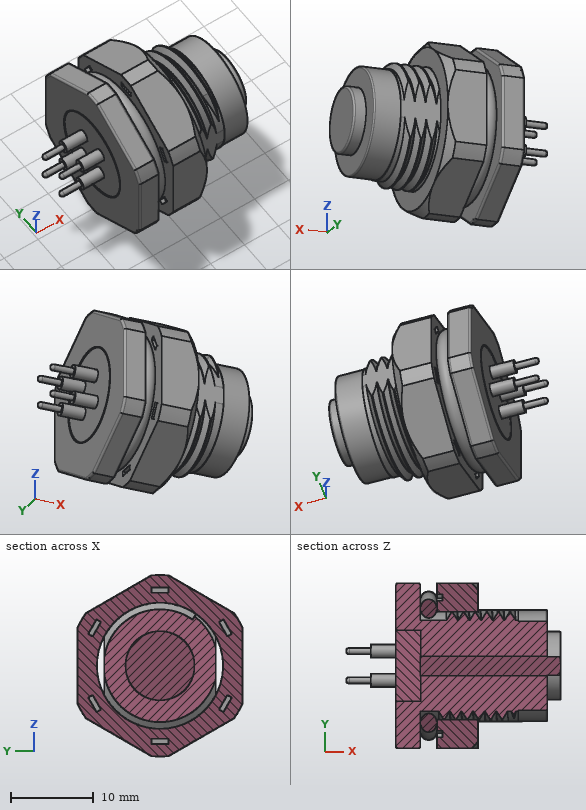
import cadquery as cq
import math

TOTAL_LENGTH = 26.0

PIN_TIP_DIA = 0.8
PIN_SHANK_DIA = 1.6
PIN_SPACING = 3.54
PIN_TIP_LENGTH = 3.0

HEX_ACROSS_FLATS = 20.0
HEX_CORNER_DIA = 22.0

FLANGE_START = 6.0
FLANGE_THICKNESS = 3.0
FLANGE_ROUND = 0.29
ROOT_DIA = 13.68
COLLAR_DIA = 13.5
COLLAR_START = 20.85
COLLAR_END = 24.35
COLLAR_ROUND = 0.18
REAR_BORE_DIA = 11.7
REAR_BORE_CHAMFER = 0.1

THREAD_DIA = 15.24
THREAD_PITCH = 1.4
THREAD_CREST_WIDTH = 0.15
THREAD_ROOT_WIDTH = 1.38
THREAD_OVERLAP = 0.03
THREAD_TURNS = 6
THREAD_END = 20.2
THREAD_END_ANGLE = 35.0
RUNOUT_ANGLE = 33.0
RUNOUT_END_SCALE = 0.06
RUNOUT_SECTIONS = 5

SEAL_OUTER_DIA = 18.0
SEAL_WIDTH = 2.0

NUT_THICKNESS = 5.0
NUT_CHAMFER = 1.0
SLOT_LENGTH = 2.0
SLOT_WIDTH = 0.6
SLOT_DEPTH = 0.65
SLOT_INNER_DISTANCE = 8.85
HEX_SIDES = 6

FRONT_INSERT_DIA = 8.3
FRONT_INSERT_ROUND = 0.23

FLANGE_END = FLANGE_START + FLANGE_THICKNESS
NUT_START = FLANGE_END + SEAL_WIDTH
NUT_END = NUT_START + NUT_THICKNESS
THREAD_START = THREAD_END - THREAD_TURNS * THREAD_PITCH


def cylinder(diameter, start, end):
    """Round bar on the X axis between two X positions."""
    return cq.Workplane("YZ").workplane(offset=start).circle(diameter / 2).extrude(end - start)


def hexagon(start, end):
    """Hexagonal bar with flats on +-Y and its six corners rounded to a common diameter."""
    corner_to_corner = HEX_ACROSS_FLATS / math.cos(math.pi / HEX_SIDES)
    bar = (
        cq.Workplane("YZ")
        .workplane(offset=start)
        .transformed(rotate=(0, 0, 90))
        .polygon(HEX_SIDES, corner_to_corner)
        .extrude(end - start)
    )
    return bar.intersect(cylinder(HEX_CORNER_DIA, start, end))


def thread_profile():
    """Corners of one thread tooth as (distance from the axis, distance along it from the crest)."""
    foot_radius = ROOT_DIA / 2 - THREAD_OVERLAP
    crest_radius = THREAD_DIA / 2
    return [
        (foot_radius, -THREAD_ROOT_WIDTH / 2),
        (crest_radius, -THREAD_CREST_WIDTH / 2),
        (crest_radius, THREAD_CREST_WIDTH / 2),
        (foot_radius, THREAD_ROOT_WIDTH / 2),
    ]


def make_thread_coil():
    """Helical ridge from the thread start up to its end face."""
    length = THREAD_TURNS * THREAD_PITCH
    helix = cq.Wire.makeHelix(THREAD_PITCH, length, ROOT_DIA / 2)
    coil = cq.Workplane("XZ").polyline(thread_profile()).close().sweep(cq.Workplane(helix), isFrenet=True)
    return (
        coil.rotate((0, 0, 0), (0, 0, 1), 180 + THREAD_END_ANGLE)
        .rotate((0, 0, 0), (0, 1, 0), 90)
        .translate((THREAD_START, 0, 0))
    )


def axial_point(radius, x, angle):
    """Point at a radius from the X axis, its angle in degrees counted from +Z towards -Y."""
    turn = math.radians(angle)
    return cq.Vector(x, -radius * math.sin(turn), radius * math.cos(turn))


def make_thread_runout():
    """Tail of the thread: the tooth goes on along the helix and shrinks into the root cylinder."""
    foot_radius = ROOT_DIA / 2 - THREAD_OVERLAP
    sections = []
    for step in range(RUNOUT_SECTIONS):
        progress = step / (RUNOUT_SECTIONS - 1)
        scale = 1 - progress * (1 - RUNOUT_END_SCALE)
        sweep = progress * RUNOUT_ANGLE
        crest_x = THREAD_END + THREAD_PITCH * sweep / 360
        corners = [
            axial_point(
                foot_radius + scale * (radius - foot_radius),
                crest_x + scale * shift,
                THREAD_END_ANGLE + sweep,
            )
            for radius, shift in thread_profile()
        ]
        sections.append(cq.Wire.makePolygon(corners, close=True))
    return cq.Workplane(cq.Solid.makeLoft(sections))


def make_housing():
    """Hexagonal flange and threaded barrel in one piece, bored through for the two inserts."""
    shank = cylinder(ROOT_DIA, FLANGE_END, COLLAR_START)
    shank = shank.union(make_thread_coil()).union(make_thread_runout())
    shank = shank.intersect(
        cq.Workplane("XY")
        .box(COLLAR_START - FLANGE_END, COLLAR_DIA, THREAD_DIA)
        .translate(((FLANGE_END + COLLAR_START) / 2, 0, 0))
    )
    collar = cylinder(COLLAR_DIA, COLLAR_START, COLLAR_END).faces(">X").edges().fillet(COLLAR_ROUND)
    flange = hexagon(FLANGE_START, FLANGE_END).faces("<X or >X").edges().fillet(FLANGE_ROUND)
    rear_bore = cylinder(REAR_BORE_DIA, FLANGE_START, FLANGE_END)
    front_bore = cylinder(FRONT_INSERT_DIA, FLANGE_END, COLLAR_END)
    mouth = cq.Workplane("XY").add(
        cq.Solid.makeCone(
            REAR_BORE_DIA / 2 + REAR_BORE_CHAMFER,
            REAR_BORE_DIA / 2,
            REAR_BORE_CHAMFER,
            pnt=cq.Vector(FLANGE_START, 0, 0),
            dir=cq.Vector(1, 0, 0),
        )
    )
    return flange.union(shank).union(collar).cut(rear_bore).cut(front_bore).cut(mouth)


def make_nut():
    """Hexagonal nut with a chamfered front and a shallow slot near each corner of its rear face."""
    nut = hexagon(NUT_START, NUT_END)
    blank = cylinder(HEX_CORNER_DIA, NUT_START, NUT_END).faces(">X").edges().chamfer(NUT_CHAMFER)
    nut = nut.intersect(blank)
    slot = cq.Workplane("XY").box(SLOT_DEPTH, SLOT_LENGTH, SLOT_WIDTH, centered=(False, True, False))
    slot = slot.translate((NUT_START, 0, SLOT_INNER_DISTANCE))
    for index in range(HEX_SIDES):
        nut = nut.cut(slot.rotate((0, 0, 0), (1, 0, 0), index * 360 / HEX_SIDES))
    return nut.cut(cylinder(THREAD_DIA, NUT_START, NUT_END))


def make_seal():
    """O-ring that fills the gap between flange and nut."""
    ring_radius = (SEAL_OUTER_DIA - SEAL_WIDTH) / 2
    centre = cq.Vector(FLANGE_END + SEAL_WIDTH / 2, 0, 0)
    return cq.Workplane(cq.Solid.makeTorus(ring_radius, SEAL_WIDTH / 2, centre, cq.Vector(1, 0, 0)))


def pin_positions():
    """Centres (y, z) of the four pins, on the corners of a square."""
    half = PIN_SPACING / 2
    return [(y, z) for y in (-half, half) for z in (-half, half)]


def make_pin(y, z):
    """Stepped pin with a hemispherical tip, reaching through the rear insert."""
    tip_radius = PIN_TIP_DIA / 2
    dome_rise = tip_radius * math.sqrt(0.5)
    tip = (
        cq.Workplane("XY")
        .moveTo(0, 0)
        .threePointArc((tip_radius - dome_rise, dome_rise), (tip_radius, tip_radius))
        .lineTo(PIN_TIP_LENGTH, tip_radius)
        .lineTo(PIN_TIP_LENGTH, 0)
        .close()
        .revolve(360, (0, 0, 0), (1, 0, 0))
    )
    shank = cylinder(PIN_SHANK_DIA, PIN_TIP_LENGTH, FLANGE_END)
    return tip.union(shank).translate((0, y, z))


def make_rear_insert():
    """Disc that closes the rear bore, with a hole for each pin."""
    disc = cylinder(REAR_BORE_DIA, FLANGE_START, FLANGE_END)
    for y, z in pin_positions():
        disc = disc.cut(cylinder(PIN_SHANK_DIA, FLANGE_START, FLANGE_END).translate((0, y, z)))
    return disc


def make_front_insert():
    """Contact carrier that stands out of the front of the housing."""
    carrier = cylinder(FRONT_INSERT_DIA, FLANGE_END, TOTAL_LENGTH)
    return carrier.faces(">X").edges().fillet(FRONT_INSERT_ROUND)


housing = make_housing()
nut = make_nut()
seal = make_seal()
rear_insert = make_rear_insert()
front_insert = make_front_insert()
pins = [make_pin(y, z) for y, z in pin_positions()]

result = cq.Compound.makeCompound(
    [
        housing.val(),
        nut.val(),
        seal.val(),
        rear_insert.val(),
        front_insert.val(),
        *[pin.val() for pin in pins],
    ]
)